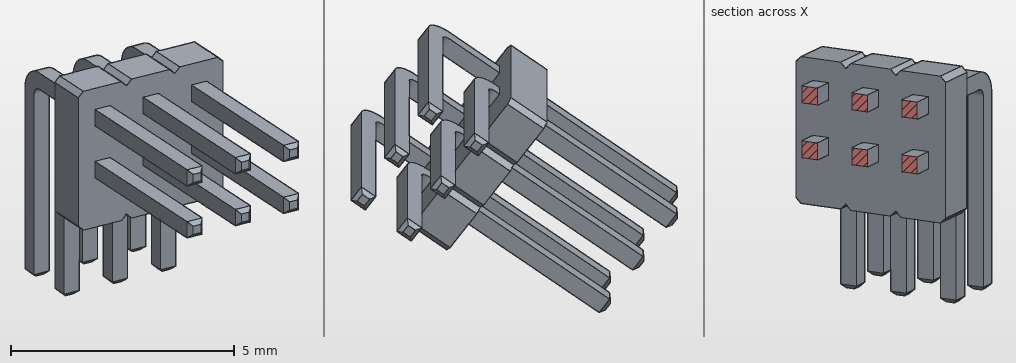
import cadquery as cq

pitch = 1.27
columns = 3

overall_length = 6.97
overall_height = 5.63

body_thickness = 1.0
body_height = 3.4
corner_cut = 0.13

pin_size = 0.4
inner_radius = 0.2
bend_radius = inner_radius + pin_size / 2
tip_chamfer = 0.1
front_reach = 4.0
upper_row_drop = 0.715

pin_tip_x = body_thickness + front_reach
upper_tail_x = pin_tip_x - overall_length + pin_size / 2
upper_row_z = body_height - upper_row_drop
pin_tail_z = body_height - overall_height


def column_y(column):
    """Y of a column centre, with the row of columns centred on Y = 0."""
    return (column - (columns - 1) / 2) * pitch


def make_body_block(y):
    """Block around one column; its cut corners form V notches against the neighbouring blocks."""
    return (
        cq.Workplane("XY")
        .box(body_thickness, pitch, body_height, centered=(False, True, False))
        .edges("|X")
        .chamfer(corner_cut)
        .translate((0, y, 0))
    )


def make_pin(tail_x, row_z, y):
    """Square pin with a vertical tail, a right-angle bend and a horizontal contact along +X."""
    path = (
        cq.Workplane("XZ", origin=(0, y, 0))
        .moveTo(tail_x, pin_tail_z)
        .lineTo(tail_x, row_z - bend_radius)
        .radiusArc((tail_x + bend_radius, row_z), bend_radius)
        .lineTo(pin_tip_x, row_z)
    )
    pin = cq.Workplane("XY", origin=(tail_x, y, pin_tail_z)).rect(pin_size, pin_size).sweep(path)
    pin = pin.faces(">X").chamfer(tip_chamfer)
    return pin.faces("<Z").chamfer(tip_chamfer)


def make_column(y):
    """Body block with its two pins; the lower pin bends one pitch inside the upper one."""
    upper_pin = make_pin(upper_tail_x, upper_row_z, y)
    lower_pin = make_pin(upper_tail_x + pitch, upper_row_z - pitch, y)
    return make_body_block(y).union(upper_pin).union(lower_pin)


result = make_column(column_y(0))
for column in range(1, columns):
    result = result.union(make_column(column_y(column)))
result = result.clean()